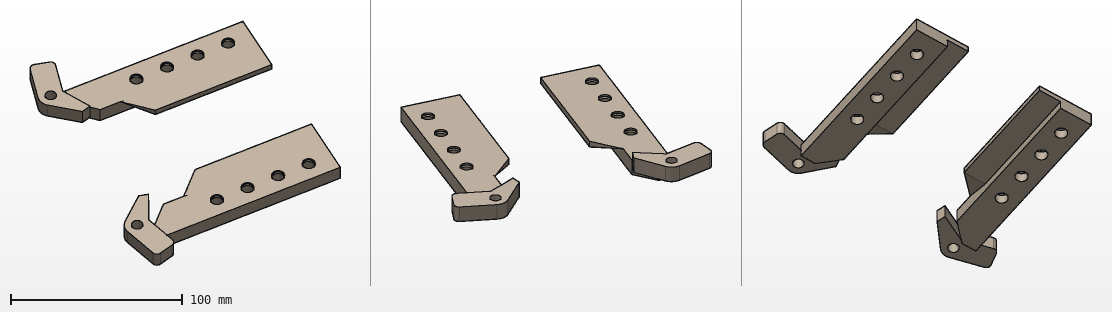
import cadquery as cq
import math

rail_thickness = 10.0
finger_thickness = 10.0
total_height = 20.5
overall_width = 161.2
finger_bottom = total_height - finger_thickness

rail_outer_x = 62.2
rail_width = 36.9
rail_inner_x = rail_outer_x - rail_width
rail_length = 116.4
nose_width = 10.0
neck_width = 21.9
neck_x = rail_outer_x - neck_width
neck_front_y = neck_width - nose_width
neck_back_y = 25.1
shoulder_y = 40.3

flank_thickness = 4.0

hole_diameter = 7.5
hole_count = 4
hole_pitch = 20.0
hole_edge_distance = 10.8
hole_x = rail_outer_x - hole_edge_distance
first_hole_y = 41.3
groove_depth = 2.0
groove_radius = 0.6

pivot_y = -12.7
pivot_diameter = 6.6
finger_tilt = 15.2
heel_radius = 7.5
tail_length = 25.0
tail_fillet = 3.0
tilt_radians = math.radians(finger_tilt)
tail_reach = (
    (tail_length - tail_fillet) * math.cos(tilt_radians)
    + (heel_radius - tail_fillet) * math.sin(tilt_radians)
    + tail_fillet
)
pivot_x = overall_width / 2 - tail_reach
bend_x = -1.8
tip_top = (12.7, 20.6)
tip_bottom = (15.8, 15.5)


def grooved_hole(hole_y):
    """Tool for one through hole with a round groove in its wall."""
    bore = (
        cq.Workplane("XY", origin=(hole_x, hole_y, 0))
        .circle(hole_diameter / 2)
        .extrude(rail_thickness)
    )
    groove_centre = cq.Vector(hole_x, hole_y, rail_thickness - groove_depth)
    groove = cq.Solid.makeTorus(hole_diameter / 2, groove_radius, groove_centre)
    return bore.union(cq.Workplane(groove))


def make_rail():
    """Right-hand rail with its tapered nose, thinned flank and hole row."""
    blank = (
        cq.Workplane("XY")
        .polyline([
            (rail_outer_x, 0),
            (rail_outer_x, rail_length),
            (rail_inner_x, rail_length),
            (rail_inner_x, shoulder_y),
            (neck_x, neck_back_y),
            (neck_x, neck_front_y),
            (rail_outer_x - nose_width, 0),
        ])
        .close()
        .extrude(rail_thickness)
    )
    flank_cut = (
        cq.Workplane("YZ", origin=(rail_inner_x, 0, 0))
        .polyline([
            (neck_back_y, 0),
            (neck_back_y, rail_thickness),
            (shoulder_y, rail_thickness - flank_thickness),
            (rail_length, rail_thickness - flank_thickness),
            (rail_length, 0),
        ])
        .close()
        .extrude(neck_x - rail_inner_x)
    )
    rail = blank.cut(flank_cut)
    for i in range(hole_count):
        rail = rail.cut(grooved_hole(first_hole_y + i * hole_pitch))
    return rail


def on_heel(angle):
    """Point on the heel arc at an angle in radians from +X."""
    return (heel_radius * math.cos(angle), heel_radius * math.sin(angle))


def make_finger():
    """Left-hand finger, drawn about its pivot, then tilted and moved into place."""
    tip_angle = math.atan2(tip_bottom[1], tip_bottom[0])
    tangent_angle = tip_angle - math.acos(heel_radius / math.hypot(*tip_bottom))
    heel_start_angle = -math.pi / 2
    heel_middle_angle = (heel_start_angle + tangent_angle) / 2
    outline = (
        cq.Workplane("XY")
        .moveTo(-tail_length, -heel_radius)
        .lineTo(0, -heel_radius)
        .threePointArc(on_heel(heel_middle_angle), on_heel(tangent_angle))
        .lineTo(*tip_bottom)
        .lineTo(*tip_top)
        .lineTo(bend_x, heel_radius)
        .lineTo(-tail_length, heel_radius)
        .close()
    )
    blank = outline.extrude(finger_thickness).edges("|Z and <X").fillet(tail_fillet)
    pivot_hole = cq.Workplane("XY").circle(pivot_diameter / 2).extrude(finger_thickness)
    return (
        blank.cut(pivot_hole)
        .rotate((0, 0, 0), (0, 0, 1), -finger_tilt)
        .translate((-pivot_x, pivot_y, finger_bottom))
    )


bodies = []
for body in (make_rail(), make_finger()):
    bodies.append(body.val())
    bodies.append(body.mirror("YZ").val())

result = cq.Compound.makeCompound(bodies)